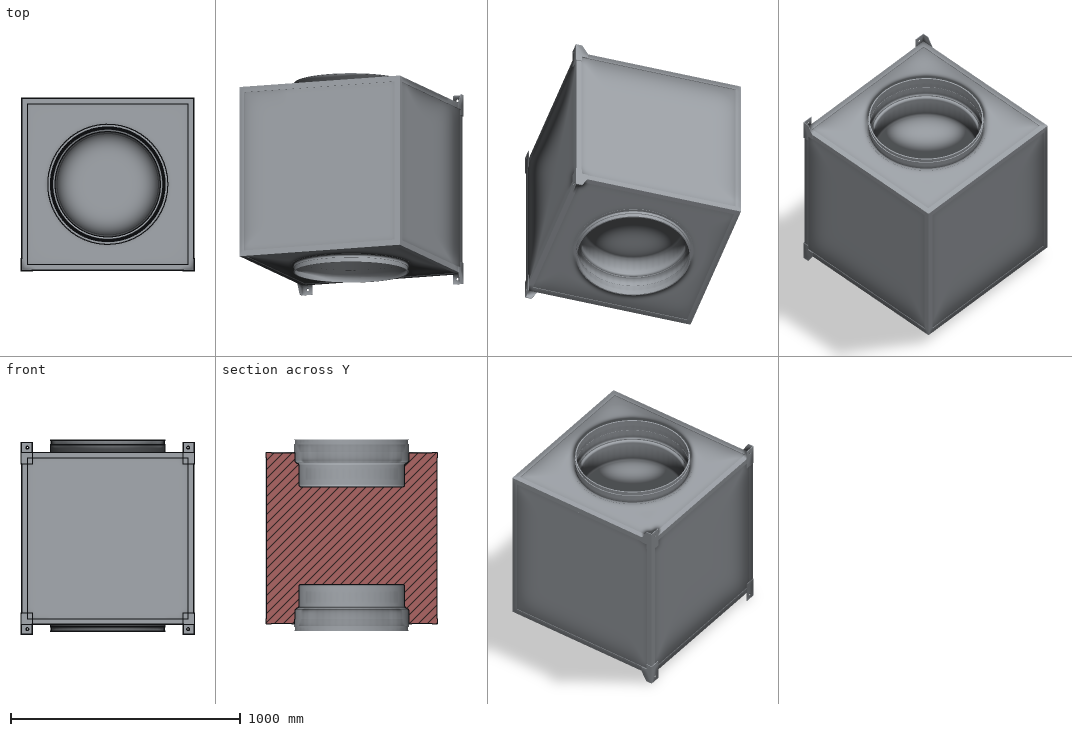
import cadquery as cq

OVERALL_HEIGHT = 847.5

BOX_SIDE = 750.0
BOX_HALF = BOX_SIDE / 2
FRAME_WIDTH = 25.0
PANEL_RECESS = 2.5

SPIGOT_TOP_HEIGHT = 54.0
SPIGOT_BOTTOM_HEIGHT = 30.5
SPIGOT_RADIUS = 250.0
SPIGOT_WALL = 2.0
LIP_HEIGHT = 2.5
SEAL_GROOVE_DEPTH = 3.0
SEAL_GROOVE_HEIGHT = 17.0
SHOULDER_THICKNESS = 2.5
COLLAR_RADIUS = 262.0
COLLAR_THICKNESS = 1.0
ROOT_DEPTH = 8.5

NECK_BORE_RADIUS = SPIGOT_RADIUS - SEAL_GROOVE_DEPTH - SPIGOT_WALL
TUBE_BORE_RADIUS = SPIGOT_RADIUS - SPIGOT_WALL
SLEEVE_RADIUS = 247.5
SLEEVE_START = 54.0
LEDGE_DEPTH = 97.5
SLEEVE_FILLET = 7.0
SLEEVE_STEP = 4.0
RIM_FILLET = 9.0
THROAT_RADIUS = 230.0
FLOOR_DEPTH = 204.0
FLOOR_FILLET = 8.5

SHEET = 3.0
BRACKET_FRONT_WIDTH = 49.0
BRACKET_SIDE_WIDTH = 54.0
BRACKET_OVERHANG = OVERALL_HEIGHT - BOX_SIDE - SPIGOT_TOP_HEIGHT
BRACKET_OVERLAP = 50.0
EAR_TIP_WIDTH = 29.0
HOLE_DIAMETER = 11.0
HOLE_EDGE_DISTANCE = 28.0
HOLE_HEIGHT = 20.0


def make_housing():
    """Cube with a shallow recessed panel on all six faces."""
    panel_side = BOX_SIDE - 2 * FRAME_WIDTH
    box = cq.Workplane("XY").box(BOX_SIDE, BOX_SIDE, BOX_SIDE)
    for face in (">X", "<X", ">Y", "<Y", ">Z", "<Z"):
        box = box.faces(face).workplane(centerOption="CenterOfBoundBox").rect(panel_side, panel_side)
        box = box.cutBlind(-PANEL_RECESS)
    return box


def revolve_profile(points):
    """Revolve (radius, z) points about the Z axis."""
    return cq.Workplane("XZ").polyline(points).close().revolve(360, (0, 0), (0, 1))


def make_bore(tip):
    """Stepped bore going down from the open end at height tip."""
    neck_end = tip - LIP_HEIGHT - SEAL_GROOVE_HEIGHT - SHOULDER_THICKNESS
    sleeve_top = tip - SLEEVE_START
    ledge = tip - LEDGE_DEPTH
    rim = ledge - SLEEVE_STEP
    foot_radius = SLEEVE_RADIUS - SLEEVE_FILLET
    floor = tip - FLOOR_DEPTH
    return (
        cq.Workplane("XZ")
        .moveTo(0, tip)
        .lineTo(NECK_BORE_RADIUS, tip)
        .lineTo(NECK_BORE_RADIUS, neck_end)
        .lineTo(TUBE_BORE_RADIUS, neck_end)
        .lineTo(TUBE_BORE_RADIUS, sleeve_top)
        .lineTo(SLEEVE_RADIUS, sleeve_top)
        .lineTo(SLEEVE_RADIUS, ledge + SLEEVE_FILLET)
        .radiusArc((foot_radius, ledge), SLEEVE_FILLET)
        .lineTo(foot_radius, rim)
        .lineTo(THROAT_RADIUS + RIM_FILLET, rim)
        .radiusArc((THROAT_RADIUS, rim - RIM_FILLET), -RIM_FILLET)
        .lineTo(THROAT_RADIUS, floor + FLOOR_FILLET)
        .radiusArc((THROAT_RADIUS - FLOOR_FILLET, floor), FLOOR_FILLET)
        .lineTo(0, floor)
        .close()
        .revolve(360, (0, 0), (0, 1))
    )


def add_spigot(body, height, upward):
    """Add a spigot and cut its stepped bore at one end of the housing."""
    tip = BOX_HALF + height
    panel = BOX_HALF - PANEL_RECESS
    root = panel - ROOT_DEPTH
    collar_face = panel + COLLAR_THICKNESS
    groove_radius = SPIGOT_RADIUS - SEAL_GROOVE_DEPTH
    groove_top = tip - LIP_HEIGHT
    groove_bottom = groove_top - SEAL_GROOVE_HEIGHT
    tube = revolve_profile([
        (0, root),
        (COLLAR_RADIUS, root),
        (COLLAR_RADIUS, collar_face),
        (SPIGOT_RADIUS, collar_face),
        (SPIGOT_RADIUS, groove_bottom),
        (groove_radius, groove_bottom),
        (groove_radius, groove_top),
        (SPIGOT_RADIUS, groove_top),
        (SPIGOT_RADIUS, tip),
        (0, tip),
    ])
    bore = make_bore(tip)
    if not upward:
        tube = tube.mirror("XY")
        bore = bore.mirror("XY")
    return body.union(tube).cut(bore)


def make_bracket():
    """Angle bracket on the upper left front edge of the housing.

    Its side flange is notched to leave the side panel free.
    """
    outer_x = -BOX_HALF - SHEET
    outer_y = -BOX_HALF - SHEET
    bottom = BOX_HALF - BRACKET_OVERLAP
    frame_y = FRAME_WIDTH - BOX_HALF
    frame_z = BOX_HALF - FRAME_WIDTH
    top = BOX_HALF + BRACKET_OVERHANG
    front = cq.Workplane("XY").box(BRACKET_FRONT_WIDTH, SHEET, top - bottom, centered=False)
    front = front.translate((outer_x, outer_y, bottom))
    side = (
        cq.Workplane("YZ", origin=(outer_x, 0, 0))
        .polyline([
            (outer_y, bottom),
            (frame_y, bottom),
            (frame_y, frame_z),
            (outer_y + BRACKET_SIDE_WIDTH, frame_z),
            (outer_y + BRACKET_SIDE_WIDTH, BOX_HALF),
            (outer_y + EAR_TIP_WIDTH, top),
            (outer_y, top),
        ])
        .close()
        .extrude(SHEET)
    )
    hole = (
        cq.Workplane("XZ", origin=(0, -BOX_HALF, 0))
        .center(outer_x + HOLE_EDGE_DISTANCE, BOX_HALF + HOLE_HEIGHT)
        .circle(HOLE_DIAMETER / 2)
        .extrude(SHEET)
    )
    return front.union(side).cut(hole)


housing = make_housing()
housing = add_spigot(housing, SPIGOT_TOP_HEIGHT, upward=True)
housing = add_spigot(housing, SPIGOT_BOTTOM_HEIGHT, upward=False)

upper_left = make_bracket()
upper_right = upper_left.mirror("YZ")
for upper_bracket in (upper_left, upper_right):
    housing = housing.union(upper_bracket).union(upper_bracket.mirror("XY"))

result = housing